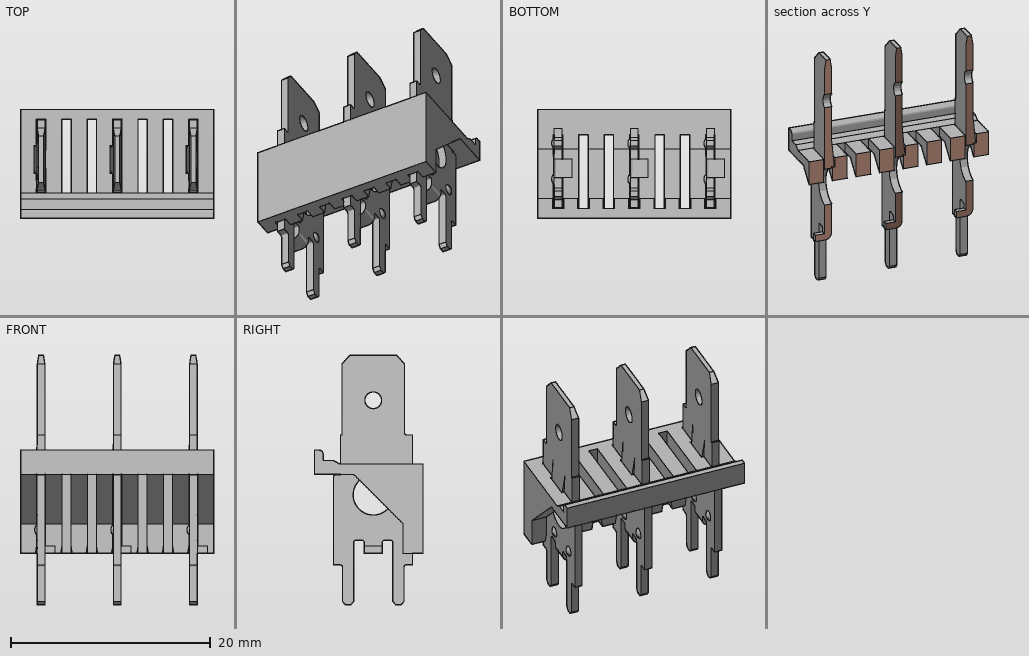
import cadquery as cq
import math


slot_pitch = 2.54
slot_count = 7
slots_per_blade = 3
blade_pitch = slots_per_blade * slot_pitch
blade_count = 3
blade_positions = [(i - (blade_count - 1) / 2) * blade_pitch for i in range(blade_count)]
slot_positions = [(i - (slot_count - 1) / 2) * slot_pitch for i in range(slot_count)]

housing_length = 19.36
housing_depth = 10.9
housing_back = 5.0
housing_front = housing_back - housing_depth
housing_top = 8.95
back_wall_depth = 2.0
back_wall_front = housing_back - back_wall_depth
back_wall_inner_height = 2.95
shelf_underside = 7.9
gusset_front = -1.95

ramp_start = -3.35
ramp_length = 0.63
rail_step_height = 9.3
lip_height = 10.35
lip_thickness = 0.9
lip_round = 0.45

slot_width = 0.92
slot_back = 4.0
slot_top_relief = 0.05
slot_flare = 0.12
slot_flare_height = 0.75

blade_thickness = 0.8
blade_face = -blade_thickness / 2
blade_length = 25.0
blade_top = 19.85
blade_bottom = blade_top - blade_length

tab_width = 6.3
tab_half = tab_width / 2
tab_corner_height = 0.9
tab_corner_width = 0.82
tab_bevel_height = 0.95
tab_bevel_inset = 0.16
tab_hole_diameter = 1.65
tab_hole_height = 15.32

shoulder_height = 11.85
body_back = 3.95
neck_front = -3.3
body_front = -4.0
shelf_clearance = 0.05
body_front_top = shelf_underside - shelf_clearance
body_bottom = -1.15
body_hole_diameter = 4.0
body_hole_height = 5.85
corner_round = 0.2
inner_round = 0.2

leg_outer = 3.1
leg_inner = 1.94
leg_tip_height = 0.35
leg_tip_inset = 0.3
leg_slot_top = 1.3
tongue_half = 0.92
tongue_thickness = 0.75
tongue_reach = 1.0

lance_top = 10.95
lance_bottom = 7.95
lance_lean = 0.3
lance_top_half = 1.5
lance_bottom_half = 1.22

lance_recess_half = 1.4
lance_clearance = 0.02
lance_recess_wall = blade_face - lance_lean - lance_clearance

dimple_positions = [1.08, -2.5]
dimple_height = 2.35
dimple_diameter = 1.08
dimple_rise = 0.25
dimple_root = blade_thickness / 2


def extrude_along_x(points, start, length):
    """Prism along +X from a closed outline of (Y, Z) points."""
    return cq.Workplane("YZ", origin=(start, 0, 0)).polyline(points).close().extrude(length)


def extrude_along_y(points, start, length):
    """Prism along +Y from a closed outline of (X, Z) points."""
    end_plane = cq.Workplane("XZ", origin=(0, start + length, 0))
    return end_plane.polyline(points).close().extrude(length)


def make_housing_block():
    outline = [
        (housing_back, 0),
        (housing_back, housing_top),
        (ramp_start, housing_top),
        (ramp_start - ramp_length, rail_step_height),
        (housing_front + lip_thickness, rail_step_height),
        (housing_front + lip_thickness, lip_height),
        (housing_front, lip_height),
        (housing_front, shelf_underside),
        (gusset_front, shelf_underside),
        (back_wall_front, back_wall_inner_height),
        (back_wall_front, 0),
    ]
    block = extrude_along_x(outline, -housing_length / 2, housing_length)
    lip_edge = cq.selectors.NearestToPointSelector((0, housing_front + lip_thickness, lip_height))
    return block.edges(lip_edge).fillet(lip_round)


def make_slot_cutter(x):
    """Full-height slot whose sides flare out at the underside."""
    side_outline = [
        (ramp_start, 0),
        (slot_back, 0),
        (slot_back + slot_top_relief, housing_top),
        (ramp_start, housing_top),
    ]
    slot = extrude_along_x(side_outline, x - slot_width / 2, slot_width)
    half_width = slot_width / 2
    flare_outline = [
        (x - half_width - slot_flare, 0),
        (x + half_width + slot_flare, 0),
        (x + half_width, slot_flare_height),
        (x - half_width, slot_flare_height),
    ]
    return slot.union(extrude_along_y(flare_outline, ramp_start, slot_back - ramp_start))


def make_lance_recess_cutter(x):
    corner = (x + lance_recess_wall, 0, lance_bottom)
    recess_depth = housing_top - lance_bottom
    return cq.Workplane("XY", origin=corner).box(
        -lance_recess_wall, 2 * lance_recess_half, recess_depth, centered=(False, True, False)
    )


def make_housing():
    housing = make_housing_block()
    for x in slot_positions:
        housing = housing.cut(make_slot_cutter(x))
    for x in blade_positions:
        housing = housing.cut(make_lance_recess_cutter(x))
    return housing


def make_blade_plate():
    outline = [
        (tab_half - tab_corner_width, blade_top),
        (tab_half, blade_top - tab_corner_height),
        (tab_half, shoulder_height),
        (body_back, shoulder_height),
        (body_back, body_bottom),
        (leg_outer, body_bottom),
        (leg_outer, blade_bottom + leg_tip_height),
        (leg_outer - leg_tip_inset, blade_bottom),
        (leg_inner + leg_tip_inset, blade_bottom),
        (leg_inner, blade_bottom + leg_tip_height),
        (leg_inner, leg_slot_top),
        (tongue_half, leg_slot_top),
        (tongue_half, tongue_thickness),
        (-tongue_half, tongue_thickness),
        (-tongue_half, leg_slot_top),
        (-leg_inner, leg_slot_top),
        (-leg_inner, blade_bottom + leg_tip_height),
        (-leg_inner - leg_tip_inset, blade_bottom),
        (-leg_outer + leg_tip_inset, blade_bottom),
        (-leg_outer, blade_bottom + leg_tip_height),
        (-leg_outer, body_bottom),
        (body_front, body_bottom),
        (body_front, body_front_top),
        (neck_front, body_front_top),
        (neck_front, shoulder_height),
        (-tab_half, shoulder_height),
        (-tab_half, blade_top - tab_corner_height),
        (-tab_half + tab_corner_width, blade_top),
    ]
    plate = extrude_along_x(outline, blade_face, blade_thickness)

    inner_corners = [
        (tab_half, shoulder_height),
        (leg_outer, body_bottom),
        (-leg_outer, body_bottom),
        (leg_inner, leg_slot_top),
        (tongue_half, leg_slot_top),
        (-tongue_half, leg_slot_top),
        (-leg_inner, leg_slot_top),
    ]
    plate = round_plate_corners(plate, inner_corners, inner_round)
    return round_plate_corners(plate, [(body_front, body_front_top)], corner_round)


def round_plate_corners(plate, corners, radius):
    """Fillet the edges along X that pass through the given (Y, Z) corners."""
    for y, z in corners:
        corner_edge = cq.selectors.NearestToPointSelector((0, y, z))
        plate = plate.edges("|X").edges(corner_edge).fillet(radius)
    return plate


def make_hole_cutter(diameter, height):
    start = (blade_face, 0, height)
    return cq.Workplane("YZ", origin=start).circle(diameter / 2).extrude(blade_thickness)


def make_tab_bevel_cutters():
    """Wedges that thin the tab on both faces towards its top edge."""
    cutters = []
    for side in (-1, 1):
        face = side * blade_thickness / 2
        wedge = [
            (face, blade_top - tab_bevel_height),
            (face, blade_top),
            (face - side * tab_bevel_inset, blade_top),
        ]
        cutters.append(extrude_along_y(wedge, -tab_half, tab_width))
    return cutters


def make_tongue():
    """Arm bent over towards +X below the plate, with a quarter-round outer bend."""
    bend_end = blade_face + tongue_thickness
    bend_middle_offset = tongue_thickness * (1 - math.sqrt(0.5))
    arm_end = blade_thickness / 2 + tongue_reach
    return (
        cq.Workplane("XZ", origin=(0, tongue_half, 0))
        .moveTo(blade_face, tongue_thickness)
        .threePointArc((blade_face + bend_middle_offset, bend_middle_offset), (bend_end, 0))
        .lineTo(arm_end, 0)
        .lineTo(arm_end, tongue_thickness)
        .close()
        .extrude(2 * tongue_half)
    )


def make_lance():
    """Sloping tapered bump, flush at its top and standing out at its bottom edge."""
    wedge = [
        (blade_face, lance_top),
        (blade_face - lance_lean, lance_bottom),
        (blade_face, lance_bottom),
    ]
    face_outline = [
        (lance_top_half, lance_top),
        (lance_bottom_half, lance_bottom),
        (-lance_bottom_half, lance_bottom),
        (-lance_top_half, lance_top),
    ]
    bump = extrude_along_y(wedge, -lance_top_half, 2 * lance_top_half)
    return bump.intersect(extrude_along_x(face_outline, blade_face - lance_lean, lance_lean))


def make_dimple(y):
    """Spherical cap standing on the -X face, rooted in the plate by a short stub."""
    radius = dimple_diameter / 2
    sphere_radius = (radius**2 + dimple_rise**2) / (2 * dimple_rise)
    half_radius = radius / 2
    half_rise = dimple_rise - sphere_radius + math.sqrt(sphere_radius**2 - half_radius**2)
    return (
        cq.Workplane("XY", origin=(blade_face, y, dimple_height))
        .moveTo(dimple_root, 0)
        .lineTo(-dimple_rise, 0)
        .threePointArc((-half_rise, half_radius), (0, radius))
        .lineTo(dimple_root, radius)
        .close()
        .revolve(360, (0, 0), (1, 0))
    )


def make_blade():
    blade = make_blade_plate()
    for cutter in make_tab_bevel_cutters():
        blade = blade.cut(cutter)
    blade = blade.union(make_tongue())
    blade = blade.union(make_lance())
    for y in dimple_positions:
        blade = blade.union(make_dimple(y))
    blade = blade.cut(make_hole_cutter(tab_hole_diameter, tab_hole_height))
    return blade.cut(make_hole_cutter(body_hole_diameter, body_hole_height))


housing = make_housing()
blades = [make_blade().translate((x, 0, 0)) for x in blade_positions]
result = cq.Compound.makeCompound([housing.val(), *[blade.val() for blade in blades]])